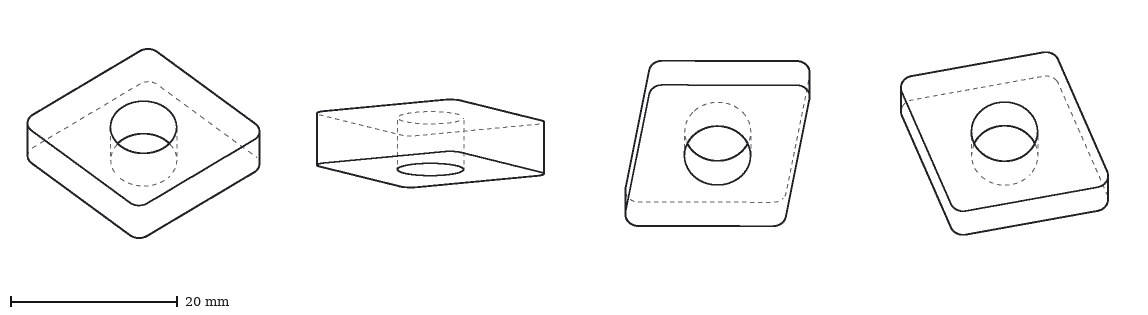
import cadquery as cq
import math

overall_length = 22.1
thickness = 6.35
acute_angle = 80.0
corner_radius = 1.6
hole_diameter = 7.93

half_angle = math.radians(acute_angle / 2)
inner_length = overall_length - 2 * corner_radius
inner_height = inner_length * math.tan(half_angle)
width = inner_height + 2 * corner_radius

side_length = width / math.sin(math.radians(acute_angle))
lean = width / math.tan(math.radians(acute_angle))
half_length = (side_length + lean) / 2
half_width = width / 2

corners = [
    (-half_length, -half_width),
    (half_length - lean, -half_width),
    (half_length, half_width),
    (-half_length + lean, half_width),
]

body = (
    cq.Workplane("XY")
    .polyline(corners)
    .close()
    .extrude(thickness)
    .edges("|Z")
    .fillet(corner_radius)
)

result = body.faces(">Z").workplane(origin=(0, 0, thickness)).hole(hole_diameter)